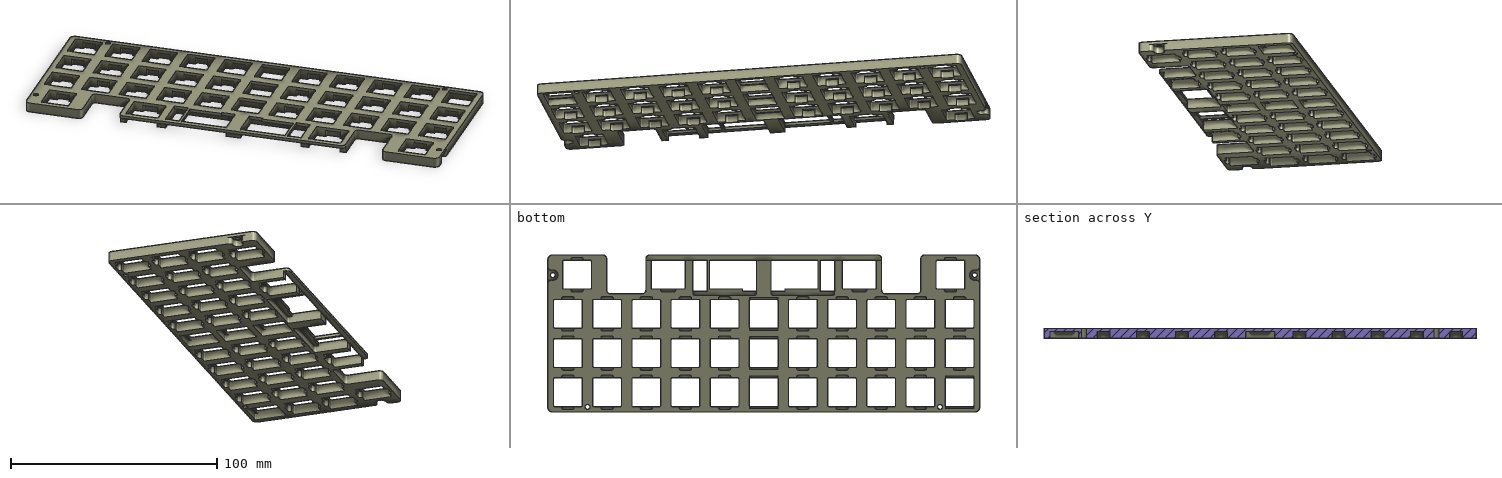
import cadquery as cq
import math

LENGTH = 209.8
DEPTH = 76.4
THICKNESS = 4.8
SKIN = 1.5
CORNER_RADIUS = 2.5
OVERCUT = 2.0
SELECT_MARGIN = 0.2
SKIN_BOTTOM = THICKNESS - SKIN
BACK = DEPTH / 2
FRONT = -DEPTH / 2

KEY_SIZE = 13.8
KEY_CORNER = 0.5
COLUMNS = 11
ROWS = 4
SIDE_MARGIN = 3.0
END_MARGIN = 2.7
COLUMN_PITCH = (LENGTH - 2 * SIDE_MARGIN - KEY_SIZE) / (COLUMNS - 1)
ROW_PITCH = (DEPTH - 2 * END_MARGIN - KEY_SIZE) / (ROWS - 1)
FIRST_COLUMN_X = -COLUMN_PITCH * (COLUMNS - 1) / 2
BACK_ROW_Y = BACK - END_MARGIN - KEY_SIZE / 2
FRONT_ROW_Y = -BACK_ROW_Y
FRONT_ROW_BOTTOM = FRONT_ROW_Y - KEY_SIZE / 2
FRONT_ROW_TOP = FRONT_ROW_Y + KEY_SIZE / 2

CORNER_KEY_X = 90.6
WIDE_KEY_X = 46.4
WIDE_KEY_LENGTH = 16.4

CLIP_DEPTH = 1.5
CLIP_CORNER = 1.0
CLIP_LENGTH = 6.0
WIDE_CLIP_LENGTH = 7.3
LEDGE_DEPTH = 1.0

BAY_INNER_X = 57.3
BAY_OUTER_X = 76.2
BAY_BACK_Y = -19.3
BAY_INNER_RADIUS = 1.7
BAY_MOUTH_RADIUS = 2.0

RIB_HALF_WIDTH = 3.5
BIG_OUTER_X = 26.2
BIG_STEP_X = 10.3
NARROW_INNER_X = 27.5
NARROW_OUTER_X = 34.5
STABILIZER_TOP = -20.5
STABILIZER_POCKET_TOP = -18.5
POCKET_CORNER = 1.0

SCREW_DIAMETER = 2.3
SCREW_INSET = 2.5
BACK_SCREW_X = FIRST_COLUMN_X + COLUMN_PITCH / 2
BACK_SCREW_Y = BACK - SCREW_INSET
SIDE_SCREW_X = LENGTH / 2 - SCREW_INSET
SIDE_SCREW_Y = -28.3
SEAT_RADIUS = 2.5
SEAT_MOUTH_RADIUS = 1.9


def prism(x_min, x_max, y_min, y_max, z_min, z_max):
    """Box given by its limits."""
    return cq.Workplane("XY").box(
        x_max - x_min, y_max - y_min, z_max - z_min, centered=False
    ).translate((x_min, y_min, z_min))


def through_cut(x_min, x_max, y_min, y_max):
    return prism(x_min, x_max, y_min, y_max, -OVERCUT, THICKNESS + OVERCUT)


def under_cut(x_min, x_max, y_min, y_max):
    """Cutter that leaves only the skin above it."""
    return prism(x_min, x_max, y_min, y_max, -OVERCUT, SKIN_BOTTOM)


def key_cut(x, y, length, relief_length, relief_depth, relief_corner):
    """Key hole with a relief under the skin that reaches past its front and back walls."""
    half_key = KEY_SIZE / 2
    half_relief = half_key + relief_depth
    hole = through_cut(x - length / 2, x + length / 2, y - half_key, y + half_key)
    relief = under_cut(x - relief_length / 2, x + relief_length / 2, y - half_relief, y + half_relief)
    return hole.edges("|Z").fillet(KEY_CORNER).union(relief.edges("|Z").fillet(relief_corner))


def key_grid_cut():
    cuts = cq.Workplane("XY")
    for row in range(ROWS - 1):
        for column in range(COLUMNS):
            x = FIRST_COLUMN_X + column * COLUMN_PITCH
            y = BACK_ROW_Y - row * ROW_PITCH
            is_center = column == COLUMNS // 2
            is_back_right = row == 0 and column == COLUMNS - 1
            if is_center or is_back_right:
                cut = key_cut(x, y, KEY_SIZE, KEY_SIZE, LEDGE_DEPTH, KEY_CORNER)
            else:
                cut = key_cut(x, y, KEY_SIZE, CLIP_LENGTH, CLIP_DEPTH, CLIP_CORNER)
            cuts = cuts.add(cut)
    return cuts.combine()


def front_row_cut(side):
    corner = key_cut(side * CORNER_KEY_X, FRONT_ROW_Y, KEY_SIZE, CLIP_LENGTH, CLIP_DEPTH, CLIP_CORNER)
    wide = key_cut(
        side * WIDE_KEY_X, FRONT_ROW_Y, WIDE_KEY_LENGTH, WIDE_CLIP_LENGTH, CLIP_DEPTH, CLIP_CORNER
    )
    return corner.union(wide)


def stabilizer_cut():
    """Openings on the +X side and the pocket that joins them under the skin."""
    big = through_cut(RIB_HALF_WIDTH, BIG_OUTER_X, FRONT_ROW_BOTTOM, FRONT_ROW_TOP)
    step = through_cut(RIB_HALF_WIDTH, BIG_STEP_X, FRONT_ROW_BOTTOM, STABILIZER_TOP)
    narrow = through_cut(NARROW_INNER_X, NARROW_OUTER_X, FRONT_ROW_BOTTOM, STABILIZER_TOP)
    pocket = under_cut(RIB_HALF_WIDTH, NARROW_OUTER_X, FRONT - OVERCUT, STABILIZER_POCKET_TOP)
    pocket = pocket.edges("|Z and >Y").fillet(POCKET_CORNER)
    return big.union(step).union(narrow).union(pocket)


def side_seat_cut():
    """Round seat under the +X side screw, blended by tangent arcs into the side edge."""
    reach = SEAT_RADIUS + SEAT_MOUTH_RADIUS
    blend_x = SCREW_INSET - SEAT_MOUTH_RADIUS
    blend_y = math.sqrt(reach**2 - blend_x**2)
    tangent_x = blend_x * SEAT_RADIUS / reach
    tangent_y = blend_y * SEAT_RADIUS / reach
    middle_angle = (-math.pi + math.atan2(blend_y, blend_x)) / 2
    middle_x = blend_x + SEAT_MOUTH_RADIUS * math.cos(middle_angle)
    middle_y = blend_y + SEAT_MOUTH_RADIUS * math.sin(middle_angle)
    return (
        cq.Workplane("XY", origin=(SIDE_SCREW_X, SIDE_SCREW_Y, 0))
        .moveTo(SCREW_INSET, blend_y)
        .threePointArc((middle_x, middle_y), (tangent_x, tangent_y))
        .threePointArc((-SEAT_RADIUS, 0), (tangent_x, -tangent_y))
        .threePointArc((middle_x, -middle_y), (SCREW_INSET, -blend_y))
        .close()
        .extrude(SKIN_BOTTOM)
    )


def bay_corners(y):
    """Selector for the upright edges of both bays at the given Y."""
    reach_x = BAY_OUTER_X + SELECT_MARGIN
    return cq.selectors.BoxSelector(
        (-reach_x, y - SELECT_MARGIN, 0), (reach_x, y + SELECT_MARGIN, THICKNESS)
    )


def plate_blank():
    """Outline with rounded corners and two bays in the front edge."""
    right = [
        (BAY_INNER_X, FRONT),
        (BAY_INNER_X, BAY_BACK_Y),
        (BAY_OUTER_X, BAY_BACK_Y),
        (BAY_OUTER_X, FRONT),
        (LENGTH / 2, FRONT),
        (LENGTH / 2, BACK),
    ]
    left = [(-x, y) for x, y in reversed(right)]
    blank = cq.Workplane("XY").polyline(right + left).close().extrude(THICKNESS)

    blank = blank.edges("|Z and (<X or >X)").fillet(CORNER_RADIUS)
    blank = blank.edges("|Z").edges(bay_corners(BAY_BACK_Y)).fillet(BAY_INNER_RADIUS)
    return blank.edges("|Z").edges(bay_corners(FRONT)).fillet(BAY_MOUTH_RADIUS)


def screw_holes():
    points = [
        (side * x, y)
        for side in (-1, 1)
        for x, y in ((BACK_SCREW_X, BACK_SCREW_Y), (SIDE_SCREW_X, SIDE_SCREW_Y))
    ]
    return cq.Workplane("XY").pushPoints(points).circle(SCREW_DIAMETER / 2).extrude(THICKNESS)


tongue_relief = under_cut(-BAY_INNER_X, BAY_INNER_X, FRONT - OVERCUT, FRONT_ROW_BOTTOM)

result = plate_blank().cut(key_grid_cut()).cut(tongue_relief).cut(screw_holes())
for side in (-1, 1):
    result = result.cut(front_row_cut(side))
for mirrored_cut in (stabilizer_cut(), side_seat_cut()):
    result = result.cut(mirrored_cut).cut(mirrored_cut.mirror("YZ"))